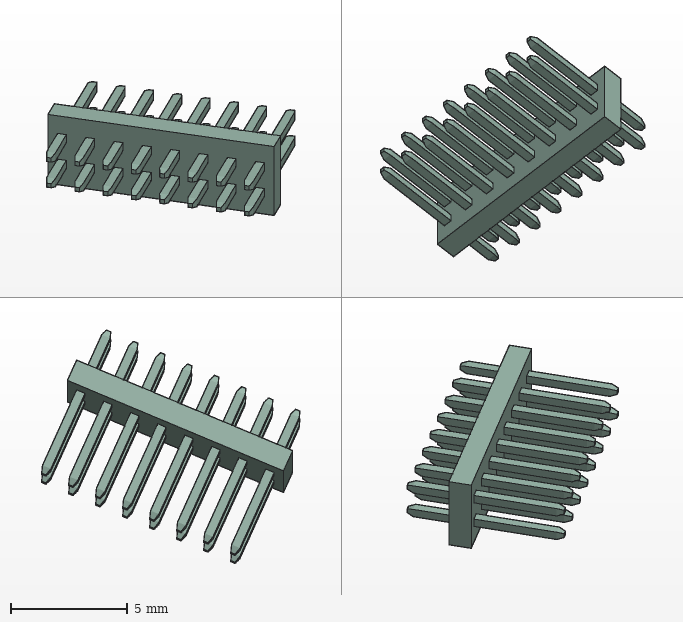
import cadquery as cq

body_length = 10.16
body_depth = 1.0
body_height = 3.4

columns = 8
rows = 2
pitch = body_length / columns
pin_width = 0.4
tip_width = 0.2
taper_length = 0.3
front_reach = 2.0
back_reach = 4.0
pin_length = front_reach + body_depth + back_reach


def make_tip(base_y, direction):
    """Square frustum narrowing from base_y along Y; direction is +1 or -1."""
    return (
        cq.Workplane("XZ", origin=(0, base_y, 0))
        .rect(pin_width, pin_width)
        .workplane(offset=-direction * taper_length)
        .rect(tip_width, tip_width)
        .loft(ruled=True)
    )


def make_pin():
    """Pin along Y on the X = Z = 0 axis, tapered at both ends."""
    shaft_front = taper_length - front_reach
    shaft_length = pin_length - 2 * taper_length
    shaft = cq.Workplane("XY").box(
        pin_width, shaft_length, pin_width, centered=(True, False, True)
    ).translate((0, shaft_front, 0))
    front_tip = make_tip(shaft_front, -1)
    back_tip = make_tip(shaft_front + shaft_length, 1)
    return shaft.union(front_tip).union(back_tip)


body = cq.Workplane("XY").box(
    body_length, body_depth, body_height, centered=(True, False, True)
)

pin = make_pin()
result = body
for column in range(columns):
    for row in range(rows):
        pin_x = (column - (columns - 1) / 2) * pitch
        pin_z = (row - (rows - 1) / 2) * pitch
        result = result.union(pin.translate((pin_x, 0, pin_z)))